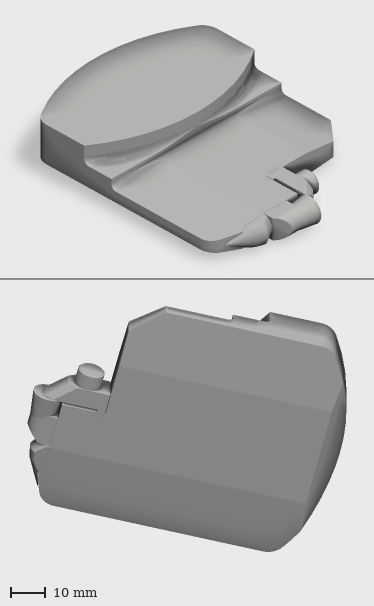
import cadquery as cq
import math

length = 91.3
half_width = 35.0
head_top = 11.9
shelf_top = 5.5
blade_half = 3.9
edge_half = 1.9
flat_half_width = 15.6
blade_slope = math.atan2(blade_half - edge_half, half_width - flat_half_width)

arc_radius = 60.7
shelf_end = 40.65
head_corner_radius = 6.0
corner_radius = 5.5
groove_radius = 1.7
bottom_bevel = 6.4

rear_step_x = 69.7
blade_end = 82.6
seat_y = -0.8
rear_bevel_x = 9.0
rear_bevel_y = 8.0

nose_radius = 3.8
nose_top_y = -5.6
nose_axis_x = 86.5
nose_relief_y = -11.05
nose_bottom_y = -14.9
web_profile = [
    (3.7, nose_bottom_y),
    (4.1, -16.1),
    (5.3, -18.2),
    (4.6, -21.65),
]
web_tip_y = -30.6
web_inset = 0.1
corner_end_x = 81.7
corner_end_y = -31.7
blade_beak = (84.0, -25.2)

insert_radius = 4.7
insert_x = length - insert_radius
insert_depth = 8.4
insert_taper = 0.13

clamp_start = 69.9
clamp_foot_end = 72.3
clamp_top_y = 5.7
clamp_under_y = 0.2
clamp_slope_start = 82.3
clamp_tip = 88.2
clamp_half = 4.1
clamp_nose_chamfer = 1.8
screw_x = 76.5
head_diameter = 7.9
neck_diameter = 4.8
screw_top_y = 10.5
screw_chamfer = 0.5


def rod_along_y(x, y_top, y_bottom, radius):
    plane = cq.Workplane("XZ", origin=(x, y_top, 0))
    return plane.circle(radius).extrude(y_top - y_bottom)


def tapered_section(top=None, inset=0.0):
    """Full-length prism, thick in the middle and thinner to both long edges.

    The upper side mirrors the lower one unless a flat top height is given.
    """
    thin = edge_half - inset
    thick = blade_half - inset
    points = [
        (-half_width, -thin),
        (-flat_half_width, -thick),
        (flat_half_width, -thick),
        (half_width, -thin),
    ]
    if top is None:
        points += [(half_width, thin), (flat_half_width, thick),
                   (-flat_half_width, thick), (-half_width, thin)]
    else:
        points += [(half_width, top), (-half_width, top)]
    return cq.Workplane("YZ").polyline(points).close().extrude(length)


def make_head():
    sag = arc_radius - math.sqrt(arc_radius**2 - half_width**2)
    height = head_top + blade_half
    lens = (
        cq.Workplane("XY", origin=(0, 0, -blade_half))
        .moveTo(sag, half_width)
        .threePointArc((0, 0), (sag, -half_width))
        .lineTo(shelf_end, -half_width)
        .lineTo(shelf_end, half_width)
        .close()
        .extrude(height)
        .edges("|Z")
        .edges("<X")
        .fillet(head_corner_radius)
    )
    arc_center = shelf_end - arc_radius
    kept = (
        cq.Workplane("XY", origin=(arc_center, 0, shelf_top))
        .circle(arc_radius)
        .extrude(height)
    )
    groove_fillet = (
        cq.Workplane("XZ", origin=(arc_center, 0, shelf_top))
        .moveTo(arc_radius - groove_radius, 0)
        .lineTo(arc_radius + groove_radius, 0)
        .radiusArc((arc_radius, groove_radius), groove_radius)
        .lineTo(arc_radius - groove_radius, groove_radius)
        .close()
        .revolve(360, (0, 0), (0, 1))
    )
    shelf = (
        cq.Workplane("XY", origin=(0, 0, -blade_half))
        .box(length, 2 * half_width, shelf_top + blade_half, centered=(False, True, False))
    )
    allowed = shelf.union(kept).union(groove_fillet)
    bevel = (
        cq.Workplane("XZ", origin=(0, half_width, 0))
        .polyline([(0, -blade_half), (bottom_bevel, -blade_half), (0, bottom_bevel - blade_half)])
        .close()
        .extrude(2 * half_width)
    )
    return lens.intersect(allowed).cut(bevel).intersect(tapered_section(top=head_top))


def make_blade():
    beak_x, beak_y = blade_beak
    edge_angle = math.atan2(beak_x - corner_end_x, beak_y - corner_end_y)
    arc_center_x = corner_end_x - corner_radius * math.cos(edge_angle)
    outline = (
        cq.Workplane("XY", origin=(0, 0, -blade_half))
        .moveTo(shelf_end, half_width)
        .lineTo(rear_step_x - rear_bevel_x, half_width)
        .lineTo(rear_step_x, half_width - rear_bevel_y)
        .lineTo(rear_step_x, seat_y)
        .lineTo(blade_end, seat_y)
        .lineTo(blade_end, web_profile[-1][1])
        .lineTo(*blade_beak)
        .lineTo(corner_end_x, corner_end_y)
        .radiusArc((arc_center_x, -half_width), corner_radius)
        .lineTo(shelf_end, -half_width)
        .close()
        .extrude(2 * blade_half)
    )
    return outline.intersect(tapered_section())


def make_step_fillet():
    """Fillet between the shelf wall and one sloping blade face, on the +Y side."""
    run = (half_width - flat_half_width) / math.cos(blade_slope)
    profile = (
        cq.Workplane("XZ")
        .moveTo(-groove_radius, -groove_radius)
        .lineTo(groove_radius, -groove_radius)
        .lineTo(groove_radius, 0)
        .radiusArc((0, groove_radius), groove_radius)
        .lineTo(-groove_radius, groove_radius)
        .close()
        .extrude(-run)
    )
    tilted = profile.rotate((0, 0, 0), (1, 0, 0), -math.degrees(blade_slope))
    placed = tilted.translate((shelf_end, flat_half_width, blade_half))
    bounds = cq.Workplane("XY").box(2 * length, 2 * half_width, 2 * blade_half)
    return placed.intersect(bounds)


def make_nose():
    nose_end = nose_axis_x + nose_radius
    block = (
        cq.Workplane("XY", origin=(0, 0, -nose_radius))
        .polyline([
            (blade_end, nose_top_y),
            (nose_end, nose_top_y),
            (nose_end, nose_relief_y),
            (blade_end + web_profile[0][0], nose_bottom_y),
            (blade_end, nose_bottom_y),
        ])
        .close()
        .extrude(2 * nose_radius)
    )
    rounded = rod_along_y(nose_axis_x, 0, nose_bottom_y, nose_radius)
    inner = cq.Workplane("XY").box(nose_axis_x, length, 2 * nose_radius, centered=(False, True, True))
    return block.intersect(rounded.union(inner))


def make_web():
    points = [(0, nose_bottom_y)] + web_profile + [(0, web_tip_y)]
    cone = (
        cq.Workplane("XY", origin=(blade_end, 0, 0))
        .polyline(points)
        .close()
        .revolve(360, (0, 0), (0, 1))
    )
    return cone.intersect(tapered_section(inset=web_inset))


def make_clamp():
    outline = [
        (clamp_start, clamp_top_y),
        (clamp_slope_start, clamp_top_y),
        (clamp_tip, clamp_under_y),
        (clamp_foot_end, clamp_under_y),
        (clamp_foot_end, seat_y),
        (clamp_start, seat_y),
    ]
    bar = (
        cq.Workplane("XY", origin=(0, 0, -clamp_half))
        .polyline(outline)
        .close()
        .extrude(2 * clamp_half)
    )
    slope_middle = ((clamp_slope_start + clamp_tip) / 2, (clamp_top_y + clamp_under_y) / 2)
    slope_edges = [
        cq.selectors.NearestToPointSelector((*slope_middle, side * clamp_half)) for side in (-1, 1)
    ]
    return bar.edges(slope_edges[0] + slope_edges[1]).chamfer(clamp_nose_chamfer)


def make_screw():
    head = rod_along_y(screw_x, screw_top_y, clamp_top_y, head_diameter / 2)
    neck = rod_along_y(screw_x, clamp_top_y, seat_y, neck_diameter / 2)
    return head.faces(">Y").chamfer(screw_chamfer).union(neck)


def make_insert():
    tip_radius = insert_radius - insert_taper * insert_depth
    return (
        cq.Workplane("XY", origin=(insert_x, 0, 0))
        .polyline([(0, 0), (insert_radius, 0), (tip_radius, -insert_depth), (0, -insert_depth)])
        .close()
        .revolve(360, (0, 0), (0, 1))
    )


def make_holder(insert):
    holder = make_head().union(make_blade())
    step_fillet = make_step_fillet()
    for fillet in (step_fillet, step_fillet.mirror("XZ")):
        holder = holder.union(fillet)
    for feature in (make_nose(), make_web(), make_clamp(), make_screw()):
        holder = holder.union(feature)
    return holder.cut(insert)


insert = make_insert()
holder = make_holder(insert)
result = cq.Compound.makeCompound([holder.val(), insert.val()])